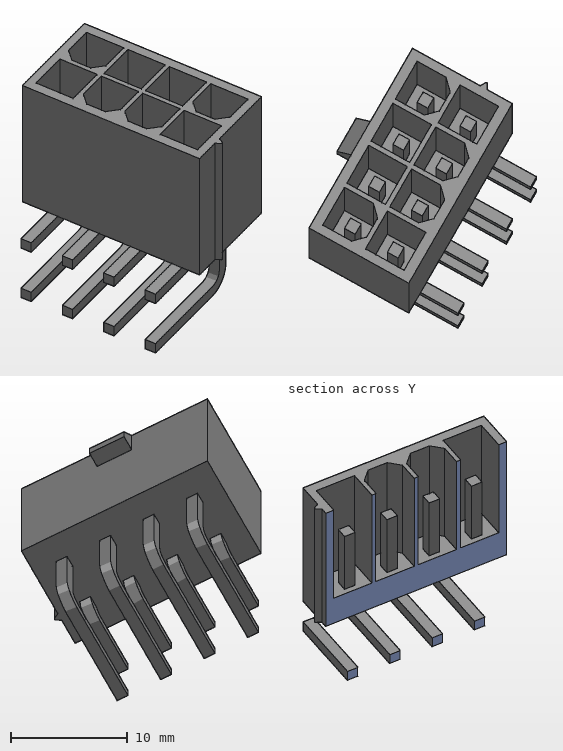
import cadquery as cq
import math


BODY_X = 18.0
BODY_Y = 9.8
BODY_Z = 13.0

COLUMNS = 4
ROWS = 2
PITCH = 4.2

SOCKET_SIDE = 3.79
SOCKET_DEPTH = 10.07
SOCKET_CHAMFER = SOCKET_SIDE / 4
SOCKET_FLOOR = BODY_Z - SOCKET_DEPTH
KEYED_SOCKETS = ((1, 0), (2, 0), (0, 1), (3, 1))

WIRE = 1.05
PIN_RECESS = 4.03
PIN_TOP = BODY_Z - PIN_RECESS
BEND_INNER = WIRE
BEND_OUTER = BEND_INNER + WIRE
BEND_DIAGONAL = math.sqrt(0.5)
LEAD_REACH = 3.6
LEAD_END_Y = -BODY_Y / 2 - LEAD_REACH
TOTAL_HEIGHT = 20.15
LEAD_BOTTOM = BODY_Z - TOTAL_HEIGHT
LEAD_STEP = 5.52

LATCH_WIDTH = 3.35
LATCH_REACH = 1.39
LATCH_HEIGHT = 3.0
LATCH_NOSE = 1.03

RIDGE_REACH = 0.5
RIDGE_BASE = 0.7
RIDGE_TIP = 0.2
RIDGE_ROUND = 0.06


def column_x(column):
    return (column - (COLUMNS - 1) / 2) * PITCH


def row_y(row):
    return (row - (ROWS - 1) / 2) * PITCH


def make_socket(column, row):
    """Socket cavity; keyed sockets lose their two -Y corners."""
    cavity = (
        cq.Workplane("XY", origin=(column_x(column), row_y(row), SOCKET_FLOOR))
        .rect(SOCKET_SIDE, SOCKET_SIDE)
        .extrude(SOCKET_DEPTH)
    )
    if (column, row) in KEYED_SOCKETS:
        cavity = cavity.faces("<Y").edges("|Z").chamfer(SOCKET_CHAMFER)
    return cavity


def make_contact(column, row):
    """Upright pin that bends under the body and runs out toward -Y."""
    back = row_y(row) + WIRE / 2
    front = back - WIRE
    bottom = LEAD_BOTTOM + (ROWS - 1 - row) * LEAD_STEP
    top = bottom + WIRE
    bend_y = front - BEND_INNER
    bend_z = top + BEND_INNER
    inner_middle = BEND_INNER * BEND_DIAGONAL
    outer_middle = BEND_OUTER * BEND_DIAGONAL
    return (
        cq.Workplane("YZ", origin=(column_x(column) - WIRE / 2, 0, 0))
        .moveTo(front, PIN_TOP)
        .lineTo(front, bend_z)
        .threePointArc(
            (bend_y + inner_middle, bend_z - inner_middle),
            (bend_y, top),
        )
        .lineTo(LEAD_END_Y, top)
        .lineTo(LEAD_END_Y, bottom)
        .lineTo(bend_y, bottom)
        .threePointArc(
            (bend_y + outer_middle, bend_z - outer_middle),
            (back, bend_z),
        )
        .lineTo(back, PIN_TOP)
        .close()
        .extrude(WIRE)
    )


def make_latch():
    """Ramp that widens downward from the top edge of the +Y wall."""
    wall = BODY_Y / 2
    underside = BODY_Z - LATCH_HEIGHT
    return (
        cq.Workplane("YZ", origin=(-LATCH_WIDTH / 2, 0, 0))
        .moveTo(wall, BODY_Z)
        .lineTo(wall, underside)
        .lineTo(wall + LATCH_REACH, underside)
        .lineTo(wall + LATCH_REACH, underside + LATCH_NOSE)
        .close()
        .extrude(LATCH_WIDTH)
    )


def make_ridge():
    """Full-height tapered ridge with a rounded tip, in line with the -Y row."""
    wall = BODY_X / 2
    tip = wall + RIDGE_REACH
    round_start = tip - RIDGE_ROUND
    middle = row_y(0)
    return (
        cq.Workplane("XY")
        .moveTo(wall, middle - RIDGE_BASE / 2)
        .lineTo(round_start, middle - RIDGE_TIP / 2)
        .threePointArc((tip, middle), (round_start, middle + RIDGE_TIP / 2))
        .lineTo(wall, middle + RIDGE_BASE / 2)
        .close()
        .extrude(BODY_Z)
    )


positions = [(column, row) for column in range(COLUMNS) for row in range(ROWS)]

result = cq.Workplane("XY").box(BODY_X, BODY_Y, BODY_Z, centered=(True, True, False))
for column, row in positions:
    result = result.cut(make_socket(column, row))

result = result.union(make_latch()).union(make_ridge())
for column, row in positions:
    result = result.union(make_contact(column, row))